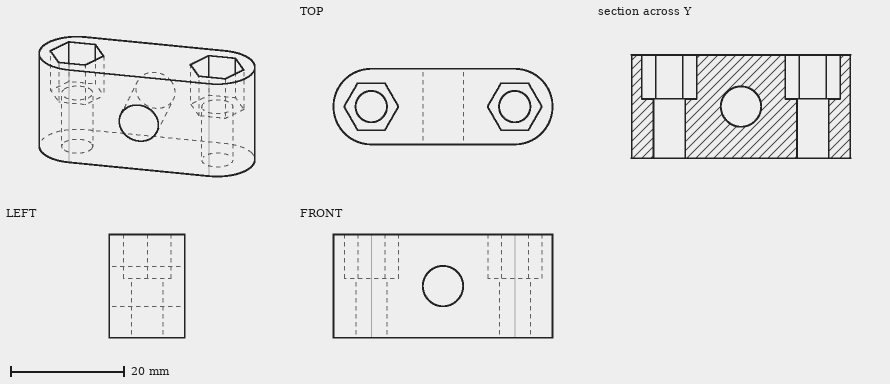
import cadquery as cq

length = 38.8
width = 13.43
height = 18.28
bolt_spacing = length - width

bolt_diameter = 5.5
nut_across_corners = 9.62
nut_pocket_depth = 7.75
cross_hole_diameter = 7.1

bolt_positions = [(-bolt_spacing / 2, 0), (bolt_spacing / 2, 0)]


def make_block():
    """Block with fully rounded ends, centred on the origin."""
    return cq.Workplane("XY").slot2D(length, width).extrude(height / 2, both=True)


def make_bolt_holes():
    """Vertical through holes on the axes of the rounded ends."""
    return (
        cq.Workplane("XY")
        .pushPoints(bolt_positions)
        .circle(bolt_diameter / 2)
        .extrude(height, both=True)
    )


def make_nut_pockets():
    """Hexagonal pockets sunk from the top, corners pointing along X."""
    return (
        cq.Workplane("XY")
        .workplane(offset=height / 2)
        .pushPoints(bolt_positions)
        .polygon(6, nut_across_corners)
        .extrude(-nut_pocket_depth)
    )


def make_cross_hole():
    """Horizontal through hole along Y at the middle of the block."""
    return cq.Workplane("XZ").circle(cross_hole_diameter / 2).extrude(width, both=True)


result = make_block().cut(make_bolt_holes()).cut(make_nut_pockets()).cut(make_cross_hole())